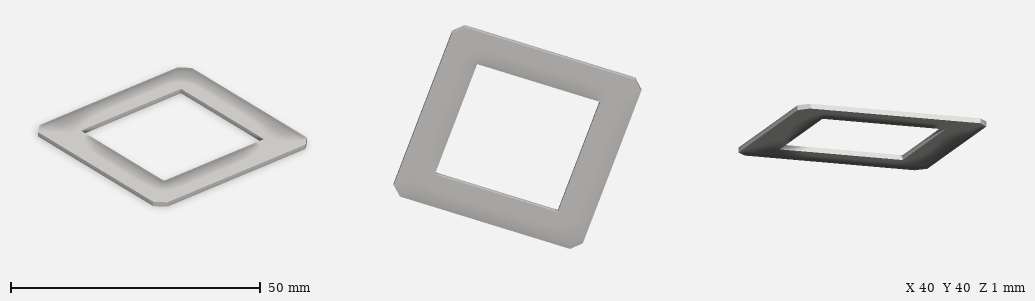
import cadquery as cq

outer_side = 40.0
opening_side = 26.0
thickness = 1.0
corner_chamfer = 2.0

plate = (
    cq.Workplane("XY")
    .rect(outer_side, outer_side)
    .extrude(thickness)
    .edges("|Z")
    .chamfer(corner_chamfer)
)

opening = cq.Workplane("XY").rect(opening_side, opening_side).extrude(thickness)

result = plate.cut(opening)